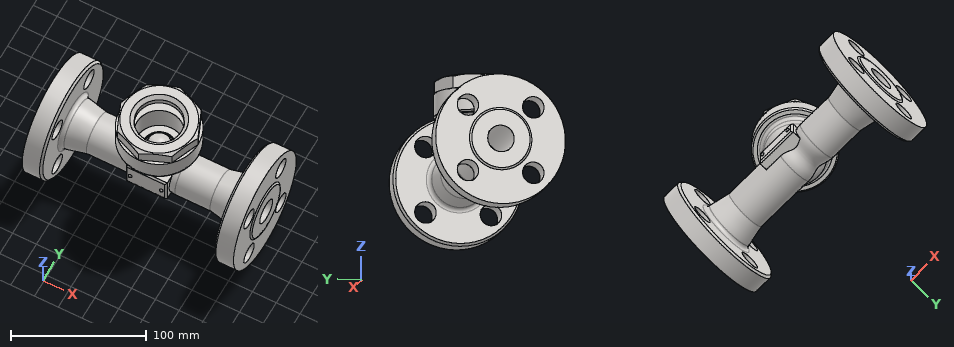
import cadquery as cq
import math


length = 180.0
pipe_dia = 34.4
bore_dia = 20.0
bore_depth = 68.4
flange_dia = 98.0
flange_thickness = 16.5
flange_chamfer = 1.8
raised_face_base_dia = 47.0
raised_face_dia = 44.0
raised_face_height = 1.0
hub_dia = 41.4
hub_fillet = 3.5
hub_start_x = 52.0
bolt_hole_dia = 16.0
bolt_circle_dia = 69.8
bolt_count = 4

waist_start_x = -2.5
waist_end_x = 22.5
waist_depth = 2.3

neck_dia = 47.5
neck_corner_z = 19.3
neck_floor_z = 12.8
neck_floor_dia = 29.9
stem_dia = 21.6
stem_bottom_z = 9.0
neck_fillet = 2.5
boss_dia = 56.0
boss_top_z = 43.0
chamber_dia = 37.0
chamber_floor_z = 21.6

seat_dia = 25.0
seat_height = 0.9
lip_dia = 23.0
lip_height = 0.7
dome_dia = bore_dia

pad_width = 34.5
pad_height = 22.7
pad_front_y = -20.7
pad_chamfer = 1.5
rivet_dia = 2.9
rivet_x = 13.1

nut_dia = 65.0
nut_bottom_z = 32.0
nut_top_z = 61.0
nut_chamfer = 1.3
head_sides = 8
head_height = 10.6
head_top_dia = 58.3
head_chamfer_height = 1.8
window_dia = chamber_dia
window_top_dia = 43.4
window_chamfer_depth = 2.9
nut_cavity_top_z = 53.8

flange_face_x = length / 2 - raised_face_height
flange_back_x = flange_face_x - flange_thickness


def half_run():
    """Half pipe with hub, flange and raised face, revolved about X on the +X side."""
    pipe_r = pipe_dia / 2
    hub_r = hub_dia / 2
    flange_r = flange_dia / 2
    fillet_x = flange_back_x - hub_fillet
    middle = hub_fillet * math.sqrt(0.5)
    return (
        cq.Workplane("XY")
        .moveTo(0, 0)
        .lineTo(0, pipe_r)
        .lineTo(hub_start_x, pipe_r)
        .lineTo(fillet_x, hub_r)
        .threePointArc(
            (fillet_x + middle, hub_r + hub_fillet - middle),
            (flange_back_x, hub_r + hub_fillet),
        )
        .lineTo(flange_back_x, flange_r - flange_chamfer)
        .lineTo(flange_back_x + flange_chamfer, flange_r)
        .lineTo(flange_face_x, flange_r)
        .lineTo(flange_face_x, raised_face_base_dia / 2)
        .lineTo(length / 2, raised_face_dia / 2)
        .lineTo(length / 2, 0)
        .close()
        .revolve(360, (0, 0, 0), (1, 0, 0))
    )


def bolt_holes():
    """Bolt holes through both flanges, straddling the vertical centre plane."""
    holes = (
        cq.Workplane("YZ", origin=(flange_back_x, 0, 0))
        .polarArray(bolt_circle_dia / 2, 180 / bolt_count, 360, bolt_count)
        .circle(bolt_hole_dia / 2)
        .extrude(flange_thickness)
    )
    return holes.union(holes.mirror("YZ"))


def end_bores():
    """Blind bore into each end of the pipe run."""
    bore_end = cq.Workplane("YZ", origin=(length / 2 - bore_depth, 0, 0))
    bore = bore_end.circle(bore_dia / 2).extrude(bore_depth)
    return bore.union(bore.mirror("YZ"))


def waist():
    """Ring removed from the pipe, with a smooth wave as its inner outline."""
    pipe_r = pipe_dia / 2
    middle_x = (waist_start_x + waist_end_x) / 2
    return (
        cq.Workplane("XY")
        .moveTo(waist_start_x, pipe_r)
        .spline(
            [(middle_x, pipe_r - waist_depth), (waist_end_x, pipe_r)],
            tangents=[(1, 0), (1, 0), (1, 0)],
            includeCurrent=True,
        )
        .lineTo(waist_end_x, pipe_r + waist_depth)
        .lineTo(waist_start_x, pipe_r + waist_depth)
        .close()
        .revolve(360, (0, 0, 0), (1, 0, 0))
    )


def neck():
    """Neck with a rounded lower corner, a stem into the pipe and the boss inside the nut."""
    neck_r = neck_dia / 2
    floor_r = neck_floor_dia / 2
    corner_width = neck_r - floor_r
    corner_height = neck_corner_z - neck_floor_z
    diagonal = math.sqrt(0.5)
    return (
        cq.Workplane("XZ")
        .moveTo(0, stem_bottom_z)
        .lineTo(stem_dia / 2, stem_bottom_z)
        .lineTo(floor_r, neck_floor_z)
        .threePointArc(
            (floor_r + corner_width * diagonal, neck_corner_z - corner_height * diagonal),
            (neck_r, neck_corner_z),
        )
        .lineTo(neck_r, nut_bottom_z - neck_fillet)
        .threePointArc(
            (neck_r + neck_fillet * (1 - diagonal), nut_bottom_z - neck_fillet * (1 - diagonal)),
            (neck_r + neck_fillet, nut_bottom_z),
        )
        .lineTo(boss_dia / 2, nut_bottom_z)
        .lineTo(boss_dia / 2, boss_top_z)
        .lineTo(0, boss_top_z)
        .close()
        .revolve(360, (0, 0, 0), (0, 1, 0))
    )


def chamber():
    """Round chamber open at the top of the boss."""
    return (
        cq.Workplane("XY", origin=(0, 0, chamber_floor_z))
        .circle(chamber_dia / 2)
        .extrude(boss_top_z - chamber_floor_z)
    )


def seat_and_dome():
    """Low round seat with a rounded lip around a hemispherical dome."""
    seat_z = chamber_floor_z + seat_height
    lip_r = lip_dia / 2
    dome_r = dome_dia / 2
    diagonal = math.sqrt(0.5)
    return (
        cq.Workplane("XZ")
        .moveTo(0, chamber_floor_z)
        .lineTo(seat_dia / 2, chamber_floor_z)
        .lineTo(seat_dia / 2, seat_z)
        .lineTo(lip_r, seat_z)
        .threePointArc(((lip_r + dome_r) / 2, seat_z + lip_height), (dome_r, seat_z))
        .threePointArc((dome_r * diagonal, seat_z + dome_r * diagonal), (0, seat_z + dome_r))
        .close()
        .revolve(360, (0, 0, 0), (0, 1, 0))
    )


def nameplate_pad():
    """Rectangular pad on the -Y side with bevelled front edges and two domed rivets."""
    pad = (
        cq.Workplane("XZ")
        .rect(pad_width, pad_height)
        .extrude(-pad_front_y)
        .faces("<Y")
        .chamfer(pad_chamfer)
    )
    rivets = (
        cq.Workplane("XZ", origin=(0, pad_front_y, 0))
        .pushPoints([(-rivet_x, 0), (rivet_x, 0)])
        .sphere(rivet_dia / 2)
    )
    return pad.union(rivets)


def make_housing():
    run = half_run()
    run = run.union(run.mirror("YZ")).cut(waist())
    body = run.union(neck()).union(nameplate_pad())
    body = body.cut(chamber()).union(seat_and_dome())
    return body.cut(end_bores()).cut(bolt_holes())


def nut_outline():
    """Turned outer shape of the nut: bevelled bottom edge and conical top."""
    nut_r = nut_dia / 2
    return (
        cq.Workplane("XZ")
        .moveTo(0, nut_bottom_z)
        .lineTo(nut_r - nut_chamfer, nut_bottom_z)
        .lineTo(nut_r, nut_bottom_z + nut_chamfer)
        .lineTo(nut_r, nut_top_z - head_chamfer_height)
        .lineTo(head_top_dia / 2, nut_top_z)
        .lineTo(0, nut_top_z)
        .close()
        .revolve(360, (0, 0, 0), (0, 1, 0))
    )


def nut_opening():
    """Bore around the boss, glass cavity above it and window with a conical mouth."""
    return (
        cq.Workplane("XZ")
        .moveTo(0, nut_bottom_z)
        .lineTo(boss_dia / 2, nut_bottom_z)
        .lineTo(boss_dia / 2, nut_cavity_top_z)
        .lineTo(window_dia / 2, nut_cavity_top_z)
        .lineTo(window_dia / 2, nut_top_z - window_chamfer_depth)
        .lineTo(window_top_dia / 2, nut_top_z)
        .lineTo(0, nut_top_z)
        .close()
        .revolve(360, (0, 0, 0), (0, 1, 0))
    )


def make_cap_nut():
    collar_height = nut_top_z - head_height - nut_bottom_z
    collar = cq.Workplane("XY", origin=(0, 0, nut_bottom_z)).circle(nut_dia / 2).extrude(collar_height)
    wrench_head = (
        cq.Workplane("XY", origin=(0, 0, nut_top_z - head_height))
        .polygon(head_sides, nut_dia)
        .extrude(head_height)
    )
    return collar.union(wrench_head).intersect(nut_outline()).cut(nut_opening())


housing = make_housing()
cap_nut = make_cap_nut()

result = cq.Compound.makeCompound([housing.val(), cap_nut.val()])